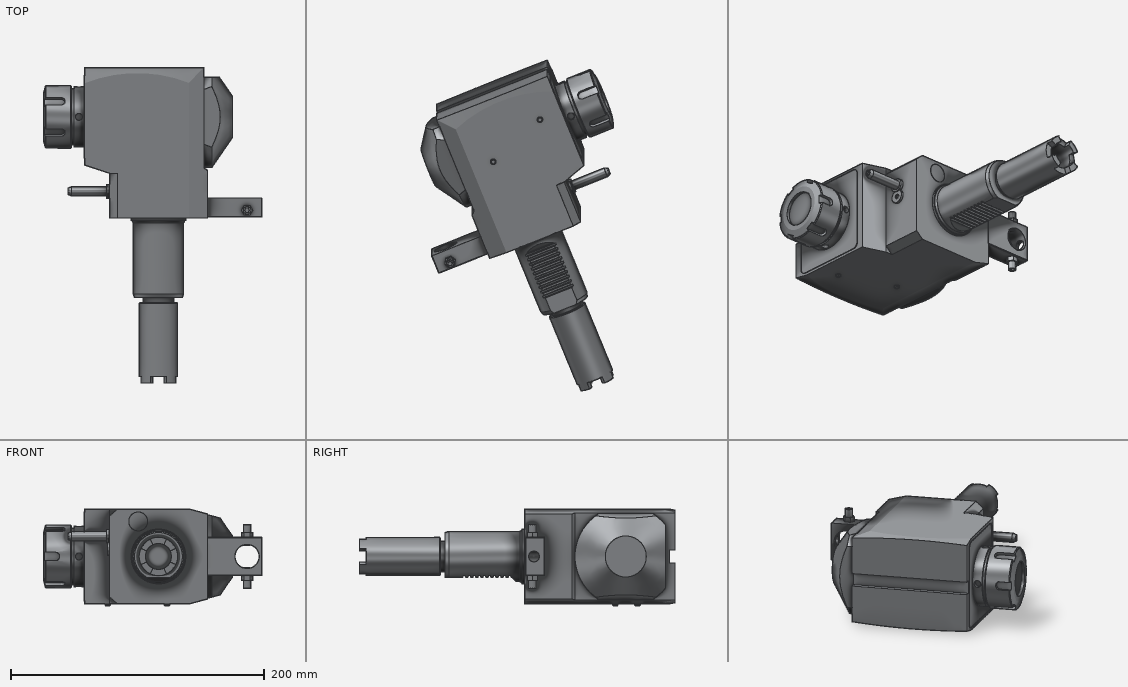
import cadquery as cq
import math


height = 75.0
half_height = height / 2
back_y = 119.0
left_x = -58.3
right_x = 36.0
foot_left_x = -38.6
foot_right_x = 39.0
foot_top_y = 35.5
side_bevel_y = 41.9
foot_step_low_y = 37.6
foot_step_high_y = 40.0
foot_chamfer_width = 6.2
foot_chamfer_height = 5.5
side_bevel_angle = 15
side_bevel_x = 24.5
dome_x = -16.5
dome_y = 2.5
dome_radius = 112.0
dome_angle = 11
dome_rim_z = 12.5
back_slot_depth = 4.2
back_slot_width = 10.2
plug_x = -16.0
plug_z = 27.7
plug_radius = 7.5
plug_recess = 0.2

spindle_y = 80.0
pad_thickness = 0.5
pad_length = 65.3
pad_height = 70.5
pad_corner = 5.0
nut_left_x = -91.0
nut_right_x = -68.8
nut_radius = 25.0
nut_chamfer = 0.7
nut_face_radius = 18.2
nut_cone_length = 1.5
nut_bore_radius = 14.0
nut_bore_depth = 2.5
neck_radius = 22.5
collar_left_x = -66.5
collar_radius = 24.0
collar_hole_x = -62.8
collar_hole_radius = 2.7
collar_hole_depth = 3.7
collar_holes = 4
nut_slots = 6
nut_slot_width = 6.7
nut_slot_floor = 22.0
long_slot_end_x = -73.8
short_slot_end_x = -78.0

cover_radius = 40.1
cover_rim_x = 42.0
cover_end_x = 58.5
cover_end_radius = 16.2
cover_flat_y = 111.5
cover_bevel_height = 32.2

flange_radius = 21.7
flange_length = 2.0
shoulder_radius = 21.0
shoulder_end = 3.7
shank_radius = 20.0
shank_end = 62.8
shank_chamfer = 1.0
shank_chamfer_length = 3.0
undercut_radius = 12.2
drive_start = 66.5
drive_radius = 15.2
drive_end = 249.2 - back_y
drive_chamfer = 0.7
claw_gaps = 4
claw_depth = 5.2
claw_gap_half_angle = 25
claw_bore_radius = 10.2
claw_bore_depth = 25.0
rack_depth = 16.5
rack_root = 15.2
rack_pitch = 4.0
rack_grooves = 10
rack_first = 11.7
rack_tip_width = 1.5
rack_root_width = 1.2
rack_lead_start = 4.5
rack_lead_end = 10.0

pin_y = 21.2
pin_z = 16.0
pin_end_x = -71.5
pin_radius = 3.7
pin_tip_radius = 2.5
pin_tip_length = 2.7
pin_collar_radius = 5.5
pin_collar_length = 2.2
side_screw_z = 6.2
side_screw_height = 1.7
socket_width = 3.7
socket_depth = 1.2

bracket_front_y = 0.7
bracket_back_y = 16.0
bracket_end_x = 82.0
bracket_half_height = 15.2
bracket_chamfer = 0.5
bracket_hole_x = 70.0
bracket_hole_radius = 9.5
stud_y = 6.2
stud_radius = 3.0
stud_end_z = 25.2
stud_tip_radius = 2.5
stud_tip_z = 8.7
end_hole_y = 7.5
end_hole_radius = 4.2
lock_nut_width = 9.0
lock_nut_height = 3.7

head_radius = 2.2
head_chamfer = 0.7
head_height = 76.5 - height
head_places = [(-40.1, 89.2), (6.7, 71.8)]


def along_x(y, z, x_start, x_end, radius):
    """Cylinder parallel to X."""
    disc = cq.Workplane("YZ", origin=(x_start, y, z)).circle(radius)
    return disc.extrude(x_end - x_start)


def turned_on_x(points):
    """Solid of (x, radius) points turned about the spindle axis."""
    outline = cq.Workplane("XY", origin=(0, spindle_y, 0)).polyline(points).close()
    return outline.revolve(360, (0, 0, 0), (1, 0, 0))


def side_bevel_z(x, start_x, start_z):
    """Height of a plane falling away towards +X at the side bevel angle."""
    return start_z - (x - start_x) * math.tan(math.radians(side_bevel_angle))


def both_sides(cutter):
    """Cutter together with its mirror image below the XY plane."""
    return cutter.union(cutter.mirror("XY"))


def bevel_cutter(start_x, start_z, y_min, y_max):
    """Wedges above and below a pair of planes that fall away towards +X."""
    reach_x = cover_end_x + 2.5
    roof_z = height
    wedge = (
        cq.Workplane("XZ", origin=(0, y_max, 0))
        .polyline([
            (start_x, start_z),
            (reach_x, side_bevel_z(reach_x, start_x, start_z)),
            (reach_x, roof_z),
            (start_x, roof_z),
        ])
        .close()
        .extrude(y_max - y_min)
    )
    return both_sides(wedge)


def dome():
    """Double cone that slopes the top and bottom down towards the back."""
    rise = half_height - dome_rim_z
    rim_radius = dome_radius + rise / math.tan(math.radians(dome_angle))
    half = (
        cq.Workplane("XZ", origin=(dome_x, dome_y, 0))
        .polyline([
            (0, 0),
            (rim_radius, 0),
            (rim_radius, dome_rim_z),
            (dome_radius, half_height),
            (0, half_height),
        ])
        .close()
        .revolve(360, (0, 0, 0), (0, 1, 0))
    )
    return both_sides(half)


def housing():
    body = (
        cq.Workplane("XY", origin=(0, 0, -half_height))
        .polyline([
            (foot_left_x, 0),
            (foot_right_x, 0),
            (foot_right_x, foot_step_low_y),
            (right_x, foot_step_high_y),
            (right_x, back_y),
            (left_x, back_y),
            (left_x, side_bevel_y),
            (foot_left_x, foot_top_y),
        ])
        .close()
        .extrude(height)
    )
    body = body.intersect(dome())
    body = body.cut(bevel_cutter(side_bevel_x, half_height, 0, back_y))
    foot_chamfer = (
        cq.Workplane("XZ", origin=(foot_left_x, foot_top_y, half_height))
        .polyline([(0, -foot_chamfer_height), (foot_chamfer_width, 0), (0, 0)])
        .close()
        .extrude(foot_top_y)
    )
    body = body.cut(both_sides(foot_chamfer))
    back_slot = cq.Workplane("XY").box(
        2 * height, 2 * back_slot_depth, back_slot_width
    ).translate((0, back_y, 0))
    plug = cq.Workplane("XZ", origin=(plug_x, 0, plug_z)).circle(plug_radius)
    return body.cut(back_slot).cut(plug.extrude(-plug_recess))


def spindle_nose():
    pad = (
        cq.Workplane("YZ", origin=(left_x - pad_thickness, spindle_y, 0))
        .rect(pad_length, pad_height)
        .extrude(2 * pad_thickness)
        .edges("|X")
        .fillet(pad_corner)
    )
    cone_end_x = nut_left_x + nut_cone_length
    turned = turned_on_x([
        (left_x, 0),
        (left_x, collar_radius),
        (collar_left_x, collar_radius),
        (collar_left_x, neck_radius),
        (nut_right_x, neck_radius),
        (nut_right_x, nut_radius - nut_chamfer),
        (nut_right_x - nut_chamfer, nut_radius),
        (cone_end_x + nut_chamfer, nut_radius),
        (cone_end_x, nut_radius - nut_chamfer),
        (nut_left_x, nut_face_radius),
        (nut_left_x, nut_bore_radius),
        (nut_left_x + nut_bore_depth, nut_bore_radius),
        (nut_left_x + nut_bore_depth, 0),
    ])
    for index in range(nut_slots):
        is_short = index % (nut_slots // 2) == 0
        end_x = short_slot_end_x if is_short else long_slot_end_x
        turned = turned.cut(nut_slot(360 / nut_slots * index, end_x))
    for index in range(collar_holes):
        turned = turned.cut(collar_hole(360 / collar_holes * index))
    return pad.union(turned)


def about_spindle(shape, angle):
    """Turn a shape about the spindle axis."""
    return shape.rotate((0, spindle_y, 0), (1, spindle_y, 0), angle)


def nut_slot(angle, end_x):
    """Wrench slot, open at the nut face and round at its inner end."""
    half_width = nut_slot_width / 2
    slot = (
        cq.Workplane("XZ", origin=(0, spindle_y - nut_slot_floor, 0))
        .moveTo(nut_left_x, -half_width)
        .lineTo(end_x - half_width, -half_width)
        .threePointArc((end_x, 0), (end_x - half_width, half_width))
        .lineTo(nut_left_x, half_width)
        .close()
        .extrude(nut_radius)
    )
    return about_spindle(slot, angle)


def collar_hole(angle):
    """Radial pin hole in the collar behind the nut."""
    floor_y = spindle_y - collar_radius + collar_hole_depth
    hole = cq.Workplane("XZ", origin=(collar_hole_x, floor_y, 0))
    return about_spindle(hole.circle(collar_hole_radius).extrude(2 * collar_hole_depth), angle)


def rear_cover():
    cover = turned_on_x([
        (right_x, 0),
        (right_x, cover_radius),
        (cover_rim_x, cover_radius),
        (cover_end_x, cover_end_radius),
        (cover_end_x, 0),
    ])
    y_min = spindle_y - cover_radius
    y_max = spindle_y + cover_radius
    bevel_start_z = side_bevel_z(right_x, cover_rim_x, cover_bevel_height)
    cover = cover.cut(bevel_cutter(right_x, bevel_start_z, y_min, y_max))
    back_flat = cq.Workplane("XY").box(
        2 * cover_end_x, cover_radius, height * 2, centered=(True, False, True)
    ).translate((0, cover_flat_y, 0))
    return cover.cut(back_flat)


def shank():
    turned = (
        cq.Workplane("XY")
        .polyline([
            (0, 0),
            (flange_radius, 0),
            (flange_radius, -flange_length),
            (shoulder_radius, -flange_length),
            (shank_radius, -shoulder_end),
            (shank_radius, -shank_end + shank_chamfer_length),
            (shank_radius - shank_chamfer, -shank_end),
            (undercut_radius, -shank_end),
            (undercut_radius, -drive_start),
            (drive_radius - drive_chamfer, -drive_start),
            (drive_radius, -drive_start - drive_chamfer),
            (drive_radius, -drive_end),
            (0, -drive_end),
        ])
        .close()
        .revolve(360, (0, 0, 0), (0, 1, 0))
    )
    return turned.cut(rack()).cut(claws())


def rack():
    """Flat under the shank with its clamping teeth and sloping lead-in."""
    rack_points = [(-rack_lead_start, -flange_radius), (-rack_lead_end, -rack_depth)]
    rack_points += [(-shank_end, -rack_depth), (-shank_end, -flange_radius)]
    cutter = (
        cq.Workplane("YZ")
        .polyline(rack_points)
        .close()
        .extrude(shank_radius, both=True)
    )
    half_top = (rack_pitch - rack_tip_width) / 2
    half_root = rack_root_width / 2
    for index in range(rack_grooves):
        middle = -rack_first - index * rack_pitch
        groove = (
            cq.Workplane("YZ")
            .polyline([
                (middle - half_top, -flange_radius),
                (middle - half_top, -rack_depth),
                (middle - half_root, -rack_root),
                (middle + half_root, -rack_root),
                (middle + half_top, -rack_depth),
                (middle + half_top, -flange_radius),
            ])
            .close()
            .extrude(shank_radius, both=True)
        )
        cutter = cutter.union(groove)
    return cutter


def claws():
    """Centre bore and the four wedge gaps between the driving claws."""
    end_plane = cq.Workplane("XZ", origin=(0, -drive_end, 0))
    cutter = end_plane.circle(claw_bore_radius).extrude(-claw_bore_depth)
    half_gap = 2 * drive_radius * math.tan(math.radians(claw_gap_half_angle))
    gap = (
        end_plane
        .polyline([(0, 0), (2 * drive_radius, -half_gap), (2 * drive_radius, half_gap)])
        .close()
        .extrude(-claw_depth)
    )
    for index in range(claw_gaps):
        cutter = cutter.union(gap.rotate((0, 0, 0), (0, 1, 0), 360 / claw_gaps * index))
    return cutter


def hex_socket(y, z, face_x):
    """Hexagon recess sunk in the +X direction from a face at face_x."""
    return cq.Workplane("YZ", origin=(face_x, y, z)).polygon(6, socket_width).extrude(socket_depth)


def coolant_pin():
    tip_start_x = pin_end_x + pin_tip_length
    collar_x = foot_left_x - pin_collar_length
    pin = along_x(pin_y, pin_z, tip_start_x, foot_left_x, pin_radius)
    tip = (
        cq.Workplane("YZ", origin=(tip_start_x, pin_y, pin_z))
        .circle(pin_radius)
        .workplane(offset=-pin_tip_length)
        .circle(pin_tip_radius)
        .loft()
    )
    pin = pin.union(tip)
    pin = pin.union(along_x(pin_y, pin_z, collar_x, foot_left_x, pin_collar_radius))
    screw_x = foot_left_x - side_screw_height
    screw = along_x(pin_y, side_screw_z, screw_x, foot_left_x, pin_collar_radius)
    pin = pin.union(screw)
    pin = pin.cut(hex_socket(pin_y, side_screw_z, screw_x))
    return pin.cut(hex_socket(pin_y, pin_z, pin_end_x))


def bracket():
    length = bracket_end_x - foot_right_x
    depth = bracket_back_y - bracket_front_y
    bar = (
        cq.Workplane("XY")
        .box(length, depth, 2 * bracket_half_height, centered=(False, False, True))
        .translate((foot_right_x, bracket_front_y, 0))
        .edges(">X or (<Y and |X)")
        .chamfer(bracket_chamfer)
    )
    bore = cq.Workplane("XZ", origin=(bracket_hole_x, 0, 0)).circle(bracket_hole_radius)
    bar = bar.cut(bore.extrude(-2 * bracket_back_y))
    bar = bar.cut(along_x(end_hole_y, 0, bracket_hole_x, 2 * bracket_end_x, end_hole_radius))
    stud_base = cq.Workplane("XY", origin=(bracket_hole_x, stud_y, bracket_half_height))
    stud = (
        stud_base.circle(stud_radius).extrude(stud_end_z - bracket_half_height)
        .faces(">Z").workplane().polygon(6, socket_width).cutBlind(-socket_depth)
    )
    lock_nut = stud_base.polygon(6, lock_nut_width).extrude(lock_nut_height)
    stud_tip = stud_base.circle(stud_tip_radius).extrude(stud_tip_z - bracket_half_height)
    return bar.union(both_sides(stud.union(lock_nut).union(stud_tip)))


def screw_heads():
    return (
        cq.Workplane("XY", origin=(0, 0, -half_height - head_height))
        .pushPoints(head_places)
        .circle(head_radius)
        .extrude(2 * head_height)
        .faces("<Z")
        .chamfer(head_chamfer)
    )


result = (
    housing()
    .union(spindle_nose())
    .union(rear_cover())
    .union(shank())
    .union(coolant_pin())
    .union(bracket())
    .union(screw_heads())
)